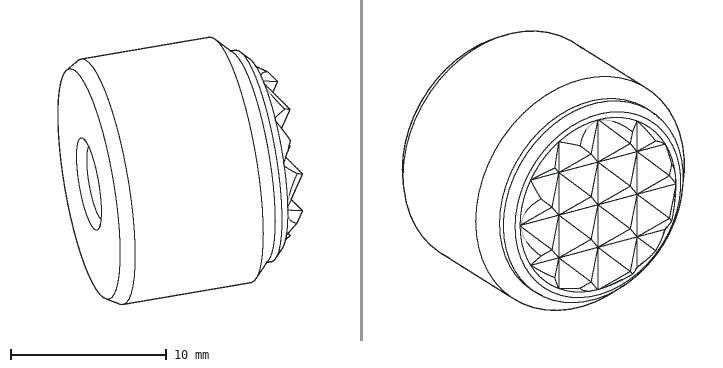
import cadquery as cq
import math

outer_radius = 8.0
housing_length = 10.5
rear_bevel_length = 0.86
rear_bevel_angle = 30.0
bore_radius = 2.46
bore_depth = 8.0
bore_mouth_radius = 3.0

disc_radius = 6.9
disc_thickness = 1.0
disc_chamfer = 0.55
tooth_pitch = 3.0
teeth_per_side = 4
trim_radius = 5.97
trim_angle = 60.0

rear_face_radius = outer_radius - rear_bevel_length * math.tan(math.radians(rear_bevel_angle))
shoulder_start = housing_length - (outer_radius - disc_radius)
countersink_depth = bore_mouth_radius - bore_radius
tooth_height = tooth_pitch / 2
tooth_foot = housing_length + disc_thickness
tooth_field_width = teeth_per_side * tooth_pitch


def revolve_about_y(profile_points):
    """Revolve a closed (radius, Y) profile about the Y axis."""
    profile = cq.Workplane("XY").polyline(profile_points).close()
    return profile.revolve(360, (0, 0, 0), (0, 1, 0))


def make_housing():
    """Bevelled cylinder with a countersunk blind bore in its rear face."""
    return revolve_about_y([
        (bore_mouth_radius, 0),
        (rear_face_radius, 0),
        (outer_radius, rear_bevel_length),
        (outer_radius, shoulder_start),
        (disc_radius, housing_length),
        (0, housing_length),
        (0, bore_depth),
        (bore_radius, bore_depth),
        (bore_radius, countersink_depth),
    ])


def make_ridges():
    """Row of triangular ridges running along Z, side by side in X."""
    half_width = tooth_field_width / 2
    points = [(-half_width, tooth_foot)]
    for index in range(teeth_per_side):
        valley_x = -half_width + index * tooth_pitch
        points.append((valley_x + tooth_pitch / 2, tooth_foot + tooth_height))
        points.append((valley_x + tooth_pitch, tooth_foot))
    points.append((half_width, tooth_foot - disc_chamfer))
    points.append((-half_width, tooth_foot - disc_chamfer))
    return cq.Workplane("XY").polyline(points).close().extrude(half_width, both=True)


def make_teeth():
    """Square grid of pyramids, trimmed round by a cone."""
    ridges = make_ridges()
    crossing_ridges = ridges.rotate((0, 0, 0), (0, 1, 0), 90)
    cone_top_radius = trim_radius - tooth_height / math.tan(math.radians(trim_angle))
    trim_cone = revolve_about_y([
        (0, tooth_foot - disc_chamfer),
        (trim_radius, tooth_foot - disc_chamfer),
        (trim_radius, tooth_foot),
        (cone_top_radius, tooth_foot + tooth_height),
        (0, tooth_foot + tooth_height),
    ])
    return ridges.intersect(crossing_ridges).intersect(trim_cone)


def make_gripper():
    """Chamfered disc carrying the teeth."""
    disc = revolve_about_y([
        (0, housing_length),
        (disc_radius, housing_length),
        (disc_radius, tooth_foot - disc_chamfer),
        (disc_radius - disc_chamfer, tooth_foot),
        (0, tooth_foot),
    ])
    return disc.union(make_teeth())


housing = make_housing()
gripper = make_gripper()
result = cq.Compound.makeCompound([housing.val(), gripper.solids().val()])